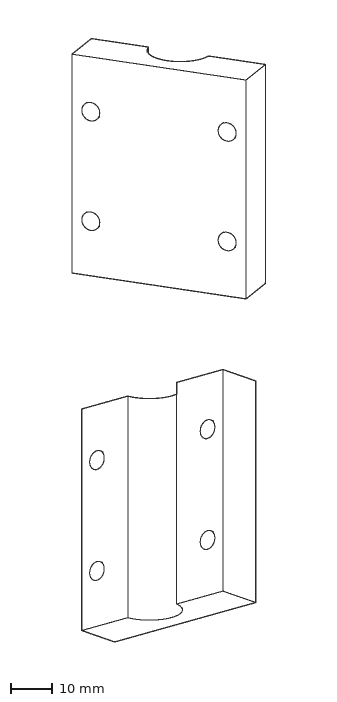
import cadquery as cq

width = 46.0
thickness = 12.0
height = 56.57

channel_diameter = 16.0
channel_axis_offset = 1.0

hole_diameter = 4.75
hole_spacing_x = 36.0
hole_spacing_z = height / 2


def make_block():
    return cq.Workplane("XY").box(width, thickness, height)


def make_channel():
    axis_y = thickness / 2 + channel_axis_offset
    return (
        cq.Workplane("XY")
        .center(0, axis_y)
        .circle(channel_diameter / 2)
        .extrude(height / 2, both=True)
    )


def make_screw_holes():
    return (
        cq.Workplane("XZ")
        .rarray(hole_spacing_x, hole_spacing_z, 2, 2)
        .circle(hole_diameter / 2)
        .extrude(thickness / 2, both=True)
    )


result = make_block().cut(make_channel()).cut(make_screw_holes())